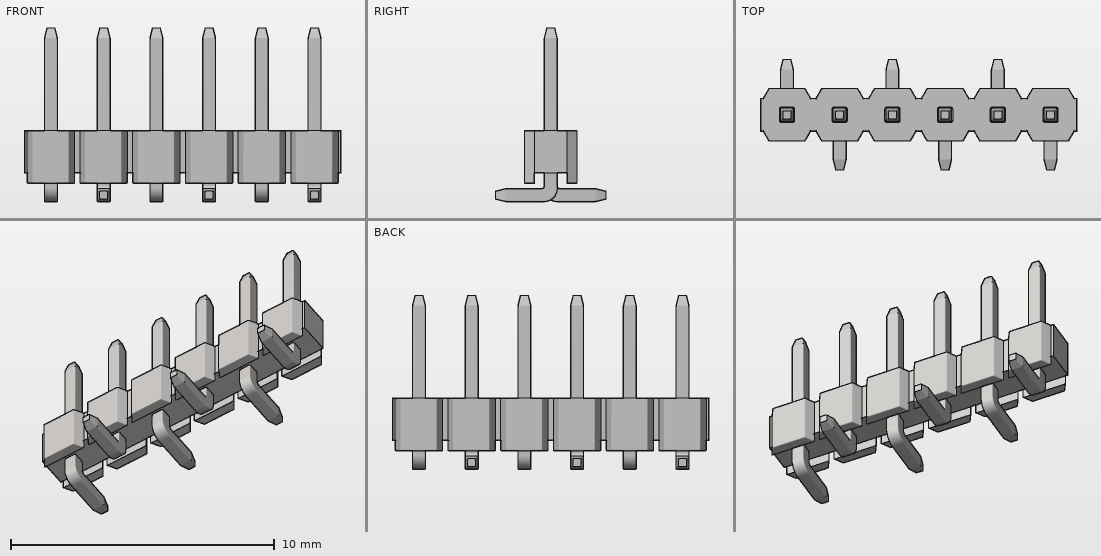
import cadquery as cq

pin_count = 6
pitch = 2.0

body_width = 2.0
body_height = 2.0
notch_root_width = 1.25
notch_root_half = 0.1
notch_mouth_half = 0.32
channel_depth = 0.4
edge_radius = 0.04
rim_slope = 45

pin_size = 0.5
tip_size = 0.3
tip_length = 0.4
pin_above_body = 3.9
pin_below_body = 0.7
foot_span = 4.2
bend_outer_radius = 0.5
bend_inner_radius = 0.1

tip_edge_radius = edge_radius * tip_size / pin_size
body_length = pin_count * pitch
body_top = body_height
pin_top = body_top + pin_above_body
foot_reach = foot_span / 2
foot_middle = pin_size / 2 - pin_below_body


def pin_x(index):
    """Centre of a pin, with the row centred on X = 0."""
    return (index - (pin_count - 1) / 2) * pitch


def rounded_square(size, radius):
    """Square sketch with rounded corners."""
    return cq.Sketch().rect(size, size).vertices().fillet(radius)


def make_segment(index):
    """One octagonal pitch of the body, notched at its four corners."""
    end = pitch / 2
    root = notch_root_width / 2
    face = body_width / 2
    right_top = [
        (end, root),
        (end - notch_root_half, root),
        (end - notch_mouth_half, face),
    ]
    left_top = [(-x, y) for x, y in reversed(right_top)]
    left_bottom = [(-x, -y) for x, y in right_top]
    right_bottom = [(x, -y) for x, y in reversed(right_top)]
    outline = right_top + left_top + left_bottom + right_bottom
    segment = cq.Workplane("XY").polyline(outline).close().extrude(body_height)
    return segment.translate((pin_x(index), 0, 0))


def round_body(body):
    """Round the notch mouth corners, then the top and bottom edges along both long sides."""
    mouth_corners = body.faces("<Y or >Y").edges("|Z")
    body = mouth_corners.fillet(edge_radius)
    return body.faces("<Z or >Z").edges("not(<X or >X)").fillet(edge_radius)


def make_body():
    """Row of rounded segments with flared pin hole rims and a channel along the underside."""
    body = make_segment(0)
    for index in range(1, pin_count):
        body = body.union(make_segment(index))
    body = round_body(body.clean())
    channel = cq.Workplane("XY").box(
        body_length, notch_root_width, channel_depth, centered=(True, True, False)
    )
    body = body.cut(channel)
    centres = [(pin_x(index), 0) for index in range(pin_count)]
    rim_outline = rounded_square(pin_size + 2 * edge_radius, 2 * edge_radius)
    rims = (
        cq.Workplane("XY", origin=(0, 0, body_top))
        .pushPoints(centres)
        .placeSketch(rim_outline)
        .extrude(-edge_radius, taper=rim_slope)
    )
    return body.cut(rims)


def make_tip():
    """Tapered pin end, from its base at Z = 0 upward."""
    base = rounded_square(pin_size, edge_radius)
    end = rounded_square(tip_size, tip_edge_radius).moved(cq.Location(cq.Vector(0, 0, tip_length)))
    return cq.Workplane("XY").placeSketch(base, end).loft(ruled=True)


def make_pin():
    """L-shaped pin with its foot along +Y and both ends tapered."""
    half = pin_size / 2
    shank_top = pin_top - tip_length
    foot_end = foot_reach - tip_length
    foot_bottom = -pin_below_body
    foot_top = foot_bottom + pin_size
    bar = (
        cq.Workplane("YZ")
        .moveTo(-half, shank_top)
        .lineTo(-half, foot_bottom + bend_outer_radius)
        .radiusArc((-half + bend_outer_radius, foot_bottom), -bend_outer_radius)
        .lineTo(foot_end, foot_bottom)
        .lineTo(foot_end, foot_top)
        .lineTo(half + bend_inner_radius, foot_top)
        .radiusArc((half, foot_top + bend_inner_radius), bend_inner_radius)
        .lineTo(half, shank_top)
        .close()
        .extrude(half, both=True)
    )
    bar = bar.faces("<X or >X").edges("not(>Z or >Y)").fillet(edge_radius)
    top_tip = make_tip().translate((0, 0, shank_top))
    foot_tip = make_tip().rotate((0, 0, 0), (1, 0, 0), -90).translate((0, foot_end, foot_middle))
    return bar.union(top_tip).union(foot_tip)


def make_header():
    """Body with its pins, the feet pointing alternately to +Y and -Y."""
    header = make_body()
    pin = make_pin()
    for index in range(pin_count):
        turn = 180 * (index % 2)
        header = header.union(pin.rotate((0, 0, 0), (0, 0, 1), turn).translate((pin_x(index), 0, 0)))
    return header


result = make_header()